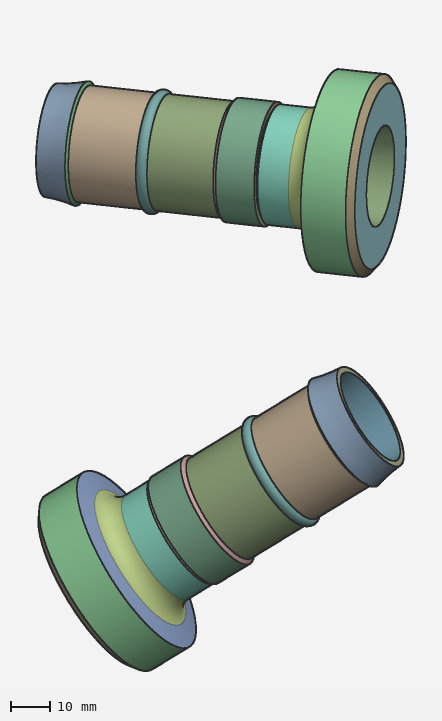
import cadquery as cq
import math

BORE_RADIUS = 26.0 / 2
TUBE_RADIUS = 30.0 / 2
COLLAR_RADIUS = 32.0 / 2
JOINT_X = 58.1
TOTAL_LENGTH = 87.0

TIP_RADIUS = 14.6
BARB_MID_X = 4.0
BARB_MID_RADIUS = 15.05
BARB_LENGTH = 8.1
BARB_BACK_LENGTH = 0.6
BEAD_CENTRE_X = 28.0
BEAD_WIDTH = 3.0
COLLAR_START_X = 47.0
COLLAR_CHAMFER_LENGTH = 1.0

NECK_RADIUS = 31.0 / 2
NECK_CHAMFER_LENGTH = 0.8
NECK_CHAMFER_DEPTH = 1.3
FILLET_START_X = 67.0
FILLET_END_RADIUS = 39.8 / 2
FLANGE_FACE_TAPER = math.radians(10)
FLANGE_RADIUS = 52.0 / 2
FLANGE_CHAMFER_LENGTH = 1.8
FLANGE_CHAMFER_DEPTH = 2.2


def revolve_about_x(profile):
    """Turn a closed half section, drawn as (x, radius), about the X axis."""
    return profile.close().revolve(360, (0, 0, 0), (1, 0, 0))


def make_hose_tail():
    """Tube with a barb, a rounded bead and a collar at the joint."""
    profile = (
        cq.Workplane("XY")
        .moveTo(0, BORE_RADIUS)
        .lineTo(0, TIP_RADIUS)
        .threePointArc((BARB_MID_X, BARB_MID_RADIUS), (BARB_LENGTH, COLLAR_RADIUS))
        .lineTo(BARB_LENGTH + BARB_BACK_LENGTH, TUBE_RADIUS)
        .lineTo(BEAD_CENTRE_X - BEAD_WIDTH / 2, TUBE_RADIUS)
        .threePointArc(
            (BEAD_CENTRE_X, COLLAR_RADIUS),
            (BEAD_CENTRE_X + BEAD_WIDTH / 2, TUBE_RADIUS),
        )
        .lineTo(COLLAR_START_X, TUBE_RADIUS)
        .lineTo(COLLAR_START_X + COLLAR_CHAMFER_LENGTH, COLLAR_RADIUS)
        .lineTo(JOINT_X, COLLAR_RADIUS)
        .lineTo(JOINT_X, BORE_RADIUS)
    )
    return revolve_about_x(profile)


def make_flanged_end():
    """Neck that blends through a fillet into a flange with a tapered face."""
    fillet_sweep = math.pi / 2 - FLANGE_FACE_TAPER
    fillet_radius = (FILLET_END_RADIUS - NECK_RADIUS) / (1 - math.cos(fillet_sweep))

    def fillet_point(angle):
        return (
            FILLET_START_X + fillet_radius * math.sin(angle),
            NECK_RADIUS + fillet_radius * (1 - math.cos(angle)),
        )

    fillet_end = fillet_point(fillet_sweep)
    rim_x = fillet_end[0] + (FLANGE_RADIUS - FILLET_END_RADIUS) * math.tan(FLANGE_FACE_TAPER)
    profile = (
        cq.Workplane("XY")
        .moveTo(JOINT_X, BORE_RADIUS)
        .lineTo(JOINT_X, NECK_RADIUS - NECK_CHAMFER_DEPTH)
        .lineTo(JOINT_X + NECK_CHAMFER_LENGTH, NECK_RADIUS)
        .lineTo(FILLET_START_X, NECK_RADIUS)
        .threePointArc(fillet_point(fillet_sweep / 2), fillet_end)
        .lineTo(rim_x, FLANGE_RADIUS)
        .lineTo(TOTAL_LENGTH - FLANGE_CHAMFER_LENGTH, FLANGE_RADIUS)
        .lineTo(TOTAL_LENGTH, FLANGE_RADIUS - FLANGE_CHAMFER_DEPTH)
        .lineTo(TOTAL_LENGTH, BORE_RADIUS)
    )
    return revolve_about_x(profile)


hose_tail = make_hose_tail()
flanged_end = make_flanged_end()

result = cq.Compound.makeCompound([hose_tail.val(), flanged_end.val()])